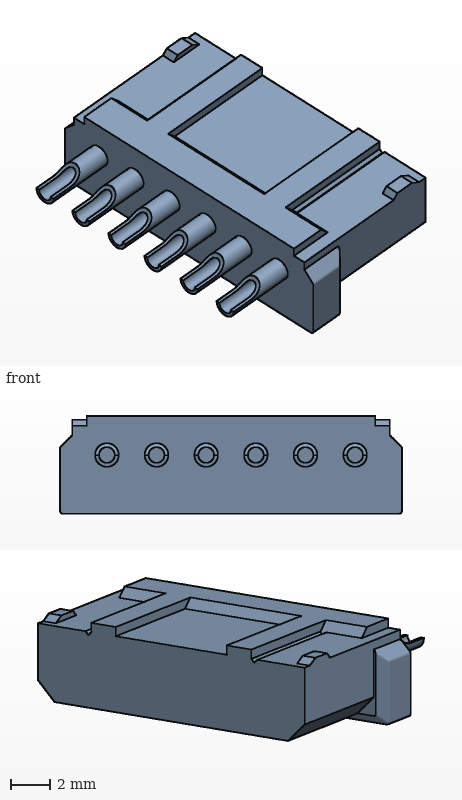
import cadquery as cq
import math

body_width = 16.2
body_depth = 9.0
body_bottom = 0.49
deck_height = 4.5
body_chamfer = 1.01
top_height = 5.0

flange_width = 17.46
flange_depth = 2.5
flange_shoulder_height = 4.02
flange_back_chamfer = 0.5
flange_edge_radius = 0.17

bar_width = 14.74
rib_inner_offset = 3.37
rib_outer_offset = 4.87
raised_height = top_height - deck_height

groove_half_width = 0.17
groove_depth = 0.17

bump_width = 0.77
bump_height = 0.3
bump_back_gap = 0.49
bump_back_ramp = 0.52
bump_flat = 1.08
bump_front_ramp = 0.3

pin_count = 6
pin_pitch = 2.53
pin_diameter = 1.2
cup_diameter = 0.8
pin_length = 4.02
pin_height = 3.0
cup_open_start = 2.8
scoop_radius = 1.15


def make_body():
    """Block with both lower side edges chamfered."""
    height = deck_height - body_bottom
    block = cq.Workplane("XY").box(body_width, body_depth, height, centered=(True, False, False))
    block = block.edges("|Y and <Z").chamfer(body_chamfer)
    return block.translate((0, 0, body_bottom))


def make_flange():
    """Front flange with sloped shoulders, chamfered back edges and rounded side edges."""
    half_body = body_width / 2
    half_flange = flange_width / 2
    shoulder_drop = half_flange - half_body
    flange = (
        cq.Workplane("XZ")
        .moveTo(-half_body, flange_shoulder_height)
        .lineTo(-half_flange, flange_shoulder_height - shoulder_drop)
        .lineTo(-half_flange, 0)
        .lineTo(half_flange, 0)
        .lineTo(half_flange, flange_shoulder_height - shoulder_drop)
        .lineTo(half_body, flange_shoulder_height)
        .close()
        .extrude(-flange_depth)
    )
    back_edges = flange.faces("<X or >X or <Z").edges(">Y")
    flange = back_edges.chamfer(flange_back_chamfer)
    flat_half = half_flange - flange_back_chamfer
    for side in (-1, 1):
        inner_corner = (side * flat_half, flange_back_chamfer, 0)
        outer_corner = (side * flange_width, flange_depth, top_height)
        rounded_edges = flange.edges(cq.selectors.BoxSelector(inner_corner, outer_corner))
        flange = rounded_edges.fillet(flange_edge_radius)
    return flange


def make_raised_frame():
    """Front bar with a 45 degree back slope down to the groove floor, joined to two full-depth ribs."""
    bar = (
        cq.Workplane("YZ")
        .moveTo(0, deck_height - groove_depth)
        .lineTo(flange_depth + groove_depth, deck_height - groove_depth)
        .lineTo(flange_depth - raised_height, top_height)
        .lineTo(0, top_height)
        .close()
        .extrude(bar_width / 2, both=True)
    )
    rib_width = rib_outer_offset - rib_inner_offset
    rib_center = (rib_inner_offset + rib_outer_offset) / 2
    ribs = (
        cq.Workplane("XY", origin=(0, body_depth / 2, deck_height))
        .pushPoints([(-rib_center, 0), (rib_center, 0)])
        .rect(rib_width, body_depth)
        .extrude(raised_height)
    )
    return bar.union(ribs)


def make_groove(side):
    """V-shaped cutter beside the rib on the given side (-1 or 1), running to the rear face."""
    center = side * (rib_outer_offset + groove_half_width)
    return (
        cq.Workplane("XZ")
        .moveTo(center - groove_half_width, deck_height)
        .lineTo(center, deck_height - groove_depth)
        .lineTo(center + groove_half_width, deck_height)
        .close()
        .extrude(-body_depth)
    )


def make_bump(side):
    """Ramped latch bump flush with the body side on the given side (-1 or 1)."""
    back = body_depth - bump_back_gap
    flat_back = back - bump_back_ramp
    flat_front = flat_back - bump_flat
    front = flat_front - bump_front_ramp
    bump = (
        cq.Workplane("YZ")
        .moveTo(back, deck_height)
        .lineTo(flat_back, deck_height + bump_height)
        .lineTo(flat_front, deck_height + bump_height)
        .lineTo(front, deck_height)
        .close()
        .extrude(bump_width / 2, both=True)
    )
    return bump.translate((side * (body_width - bump_width) / 2, 0, 0))


def make_pin():
    """Solder cup pin on X = 0: a bored round pin whose upper half is scooped away at the tip."""
    axis = cq.Workplane("XZ", origin=(0, 0, pin_height))
    pin = axis.circle(pin_diameter / 2).circle(cup_diameter / 2).extrude(pin_length)
    arc_reach = scoop_radius * math.sqrt(0.5)
    scoop_top = pin_height + scoop_radius
    scoop = (
        cq.Workplane("YZ")
        .moveTo(-pin_length, pin_height)
        .lineTo(-cup_open_start, pin_height)
        .threePointArc(
            (-cup_open_start + arc_reach, scoop_top - arc_reach),
            (-cup_open_start + scoop_radius, scoop_top),
        )
        .lineTo(-pin_length, scoop_top)
        .close()
        .extrude(pin_diameter, both=True)
    )
    return pin.cut(scoop)


housing = make_body()
for side in (-1, 1):
    housing = housing.cut(make_groove(side))
    housing = housing.union(make_bump(side))
housing = housing.union(make_flange()).union(make_raised_frame())

pin = make_pin()
for index in range(pin_count):
    pin_x = (index - (pin_count - 1) / 2) * pin_pitch
    housing = housing.union(pin.translate((pin_x, 0, 0)))

result = housing